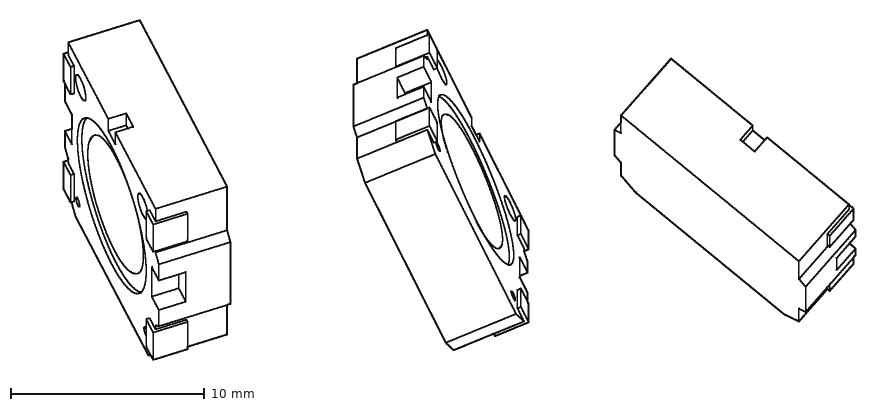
import cadquery as cq

SIZE = 13.0
TOTAL_DEPTH = 4.2
TERMINAL_PROUD = 0.2
BODY_DEPTH = TOTAL_DEPTH - TERMINAL_PROUD
HALF = SIZE / 2
FRONT_Y = -BODY_DEPTH / 2

NARROW_HALF = 6.05
SHOULDER_WIDE_Z = 2.51
SHOULDER_NARROW_Z = SHOULDER_WIDE_Z + HALF - NARROW_HALF
CORNER_CHAMFER = 1.0

TERMINAL_HEIGHT = 2.22
TERMINAL_CENTER_Z = 4.38
TERMINAL_OUTER_X = 6.2
TERMINAL_FOOT_WIDTH = 0.98
TERMINAL_SIDE_LENGTH = 1.92

NOTCH_SIZE = 0.98
TOP_NOTCH_DEPTH = 1.0
SIDE_NOTCH_HEIGHT = 2.39
SIDE_NOTCH_DEPTH = 1.51

GROOVE_RADIUS = 4.76
DISC_RADIUS = 3.76
DISC_FILLET = 0.09
GROOVE_DEPTH = 0.25
DISC_HEIGHT = 0.1

LARGE_HOLE_RADIUS = 0.7
LARGE_HOLE_X = 4.3
LARGE_HOLE_Z = 4.76
LARGE_HOLE_DEPTH = 0.79
SMALL_HOLE_RADIUS = 0.26
SMALL_HOLE_X = 4.7
SMALL_HOLE_Z = -4.97
SMALL_HOLE_DEPTH = 0.5

SIDES = (-1, 1)


def block(x_range, y_range, z_range):
    """Box spanning the given ranges; each pair may be in either order."""
    ranges = (x_range, y_range, z_range)
    sizes = [abs(end - start) for start, end in ranges]
    center = tuple((start + end) / 2 for start, end in ranges)
    return cq.Workplane("XY").box(*sizes).translate(center)


def front_plane(depth):
    """Plane at the given depth behind the front face, with its normal towards -Y."""
    return cq.Workplane("XZ", origin=(0, FRONT_Y + depth, 0))


def make_body():
    right_side = [
        (NARROW_HALF - CORNER_CHAMFER, -HALF),
        (NARROW_HALF, -HALF + CORNER_CHAMFER),
        (NARROW_HALF, -SHOULDER_NARROW_Z),
        (HALF, -SHOULDER_WIDE_Z),
        (HALF, SHOULDER_WIDE_Z),
        (NARROW_HALF, SHOULDER_NARROW_Z),
        (NARROW_HALF, HALF),
    ]
    left_side = [(-x, z) for x, z in reversed(right_side)]
    outline = front_plane(BODY_DEPTH).polyline(right_side + left_side).close()
    return outline.extrude(BODY_DEPTH)


def make_groove():
    ring = front_plane(GROOVE_DEPTH).circle(GROOVE_RADIUS).extrude(GROOVE_DEPTH)
    disc = (
        front_plane(GROOVE_DEPTH)
        .circle(DISC_RADIUS)
        .extrude(DISC_HEIGHT)
        .faces("<Y")
        .edges()
        .fillet(DISC_FILLET)
    )
    return ring.cut(disc)


def make_hole_pair(x, z, radius, depth):
    return front_plane(depth).pushPoints([(-x, z), (x, z)]).circle(radius).extrude(depth)


def make_side_notch(side):
    return block(
        (side * (HALF - NOTCH_SIZE), side * HALF),
        (FRONT_Y, FRONT_Y + SIDE_NOTCH_DEPTH),
        (-SIDE_NOTCH_HEIGHT / 2, SIDE_NOTCH_HEIGHT / 2),
    )


def make_top_notch():
    return block(
        (-NOTCH_SIZE / 2, NOTCH_SIZE / 2),
        (FRONT_Y, FRONT_Y + TOP_NOTCH_DEPTH),
        (HALF - NOTCH_SIZE, HALF),
    )


def make_terminal(side, center_z):
    outer_x = side * TERMINAL_OUTER_X
    foot_y = FRONT_Y - TERMINAL_PROUD
    z_range = (center_z - TERMINAL_HEIGHT / 2, center_z + TERMINAL_HEIGHT / 2)
    foot = block(
        (side * (TERMINAL_OUTER_X - TERMINAL_FOOT_WIDTH), outer_x), (foot_y, FRONT_Y), z_range
    )
    leg = block(
        (side * NARROW_HALF, outer_x), (foot_y, foot_y + TERMINAL_SIDE_LENGTH), z_range
    )
    return foot.union(leg)


result = make_body().cut(make_groove()).cut(make_top_notch())
result = result.cut(make_hole_pair(LARGE_HOLE_X, LARGE_HOLE_Z, LARGE_HOLE_RADIUS, LARGE_HOLE_DEPTH))
result = result.cut(make_hole_pair(SMALL_HOLE_X, SMALL_HOLE_Z, SMALL_HOLE_RADIUS, SMALL_HOLE_DEPTH))
for side in SIDES:
    result = result.cut(make_side_notch(side))
    for level in SIDES:
        result = result.union(make_terminal(side, level * TERMINAL_CENTER_Z))